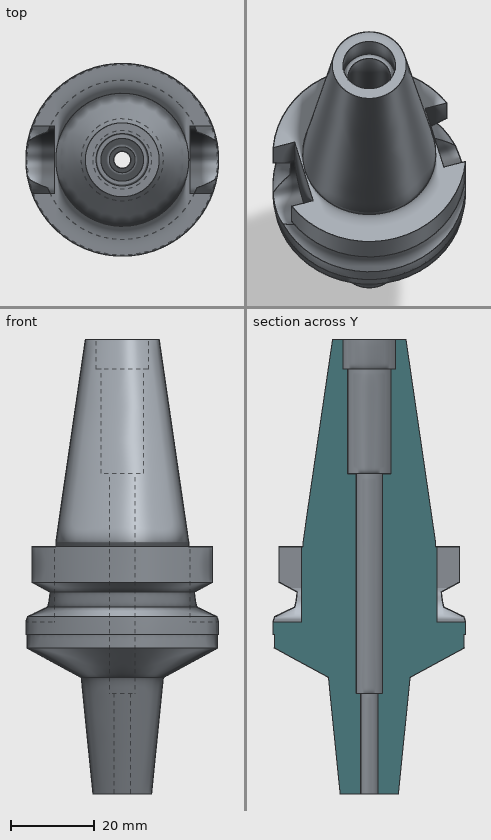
import cadquery as cq
import math


gauge_radius = 31.75 / 2
taper_length = 48.4
taper_ratio = 7 / 24
taper_tip_radius = gauge_radius - taper_length * taper_ratio / 2

flange_radius = 46.0 / 2
flange_top = -1.0
flange_bottom = -22.0

groove_center = -13.6
groove_floor_radius = 19.0
groove_floor_half_width = 1.8
groove_flank_angle = 30.0
groove_flank_rise = (flange_radius - groove_floor_radius) * math.tan(math.radians(groove_flank_angle))
groove_mouth_half_width = groove_floor_half_width + groove_flank_rise

collar_radius = 22.7
collar_bottom = -25.2
nose_root_radius = 9.8
nose_top = -32.2
nose_tip_radius = 7.0
nose_bottom = -60.0

key_width = 16.1
key_radius = key_width / 2
key_floor_x = 16.2
key_center_z = -10.9

pilot_radius = 12.5 / 2
pilot_depth = 7.0
thread_core_radius = 10.2 / 2
thread_depth = 32.0
relief_radius = 3.1
tool_radius = 2.0
tool_bore_length = 24.0
bore_steps = [
    (pilot_radius, taper_length - pilot_depth),
    (thread_core_radius, taper_length - thread_depth),
    (relief_radius, nose_bottom + tool_bore_length),
    (tool_radius, nose_bottom),
]


def turned_body():
    """Solid of revolution from the half profile (radius, z)."""
    half_profile = [
        (0, taper_length),
        (taper_tip_radius, taper_length),
        (gauge_radius, 0),
        (gauge_radius, flange_top),
        (flange_radius, flange_top),
        (flange_radius, groove_center + groove_mouth_half_width),
        (groove_floor_radius, groove_center + groove_floor_half_width),
        (groove_floor_radius, groove_center - groove_floor_half_width),
        (flange_radius, groove_center - groove_mouth_half_width),
        (flange_radius, flange_bottom),
        (collar_radius, flange_bottom),
        (collar_radius, collar_bottom),
        (nose_root_radius, nose_top),
        (nose_tip_radius, nose_bottom),
        (0, nose_bottom),
    ]
    return cq.Workplane("XZ").polyline(half_profile).close().revolve(360, (0, 0), (0, 1))


def key_slot(side):
    """Cutter for the round-ended slot on the +X (side = 1) or -X (side = -1) rim."""
    slot_depth = flange_radius - key_floor_x
    return (
        cq.Workplane("YZ", origin=(side * key_floor_x, 0, 0))
        .moveTo(-key_radius, flange_top)
        .lineTo(-key_radius, key_center_z)
        .threePointArc((0, key_center_z - key_radius), (key_radius, key_center_z))
        .lineTo(key_radius, flange_top)
        .close()
        .extrude(side * slot_depth)
    )


def stepped_bore():
    """Cutter for the coaxial bore, narrowing in steps towards the nose."""
    cutter = cq.Workplane("XY")
    for radius, lower_end in bore_steps:
        step = cq.Workplane("XY", origin=(0, 0, lower_end)).circle(radius).extrude(taper_length - lower_end)
        cutter = cutter.union(step)
    return cutter


result = turned_body()
for slot_side in (1, -1):
    result = result.cut(key_slot(slot_side))
result = result.cut(stepped_bore())